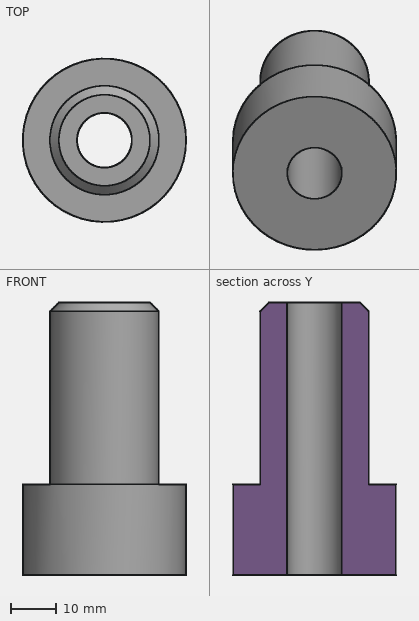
import cadquery as cq

total_height = 60.0
head_diameter = 36.0
shank_diameter = 24.0
bore_diameter = 12.0
head_height = 20.0
tip_chamfer = 2.0

shank_height = total_height - head_height

head = cq.Workplane("XY").circle(head_diameter / 2).extrude(head_height)

shank = (
    cq.Workplane("XY")
    .workplane(offset=head_height)
    .circle(shank_diameter / 2)
    .extrude(shank_height)
    .faces(">Z")
    .edges()
    .chamfer(tip_chamfer)
)

bore = cq.Workplane("XY").circle(bore_diameter / 2).extrude(total_height)

result = head.union(shank).cut(bore)